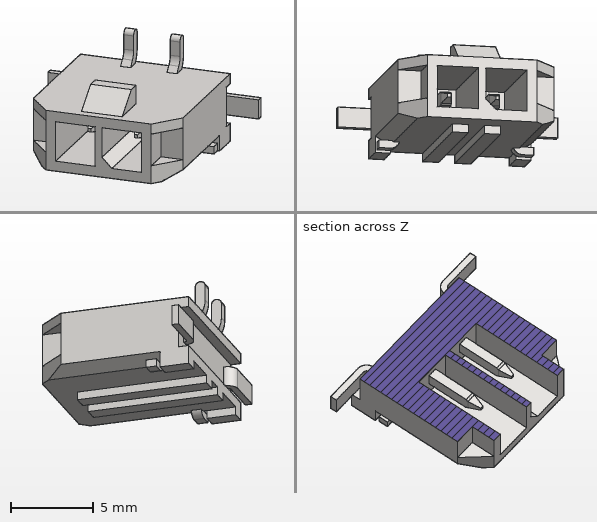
import cadquery as cq
import math


body_width = 9.69
body_length = 9.88
body_height = 3.86
mating_width = 6.82
corner_length = 1.68
bottom_bevel_width = 0.95
bottom_bevel_height = 0.5

foot_height = 0.5
foot_length = 1.84
rail_width = 1.0
rail_front = 1.58

pitch = 3.0
cavity_size = 2.55
cavity_depth = 6.28
key_bevel = 0.64
wall_thickness = (body_height - cavity_size) / 2
recess_bottom = 1.16
rear_notch_depth = 0.64

latch_width = 2.63
latch_height = 1.2
latch_front = 0.57
latch_top_front = 2.17
latch_rear = 2.96

pin_width = 0.64
pin_height = 0.83
pin_centre_z = 1.97
pin_front = 2.46
pin_tip_size = 0.2
pin_point_length = 0.82
pin_flare_length = 0.14
pin_rear = 7.65
leg_rear = 9.9
leg_top = 6.05
leg_bend_height = 0.93
leg_inner_radius = 0.85
leg_tilt = 41.0

peg_span = 13.65
peg_rear = 9.92
peg_height = 1.24
peg_thickness = 0.44
peg_bend_radius = 0.2
peg_bend_face = 3.5
tab_thickness = 0.48
tab_bend_radius = 0.14
tab_bend_face = peg_bend_face
tab_end = 4.8
tab_width = 0.65
tab_front = 7.14
tab_bottom = -0.4
strip_embed = 0.55

half_width = body_width / 2
half_mating = mating_width / 2
half_height = body_height / 2
pin_places = (-pitch / 2, pitch / 2)


def box(x_min, x_max, y_min, y_max, z_min, z_max):
    """Box given by its limits along each axis."""
    size = (x_max - x_min, y_max - y_min, z_max - z_min)
    return cq.Workplane("XY").box(*size, centered=False).translate((x_min, y_min, z_min))


def both_sides(shape):
    """The shape together with its mirror image across X = 0."""
    return shape.union(shape.mirror("YZ"))


def housing_block():
    """Block with cut front corners and bevelled bottom side edges ahead of the feet."""
    foot_front = body_length - foot_length
    block = (
        cq.Workplane("XY")
        .moveTo(-half_mating, 0)
        .lineTo(half_mating, 0)
        .lineTo(half_width, corner_length)
        .lineTo(half_width, body_length)
        .lineTo(-half_width, body_length)
        .lineTo(-half_width, corner_length)
        .close()
        .extrude(body_height)
    )
    bevel = (
        cq.Workplane("XZ")
        .moveTo(half_width, 0)
        .lineTo(half_width, bottom_bevel_height)
        .lineTo(half_width - bottom_bevel_width, 0)
        .close()
        .extrude(-foot_front)
    )
    return block.cut(both_sides(bevel))


def standoffs():
    """Rear corner feet and two long rails that the housing rests on."""
    foot = box(
        half_width - bottom_bevel_width, half_width,
        body_length - foot_length, body_length,
        -foot_height, wall_thickness,
    )
    rail_centre = pitch / 3
    rail = box(
        rail_centre - rail_width / 2, rail_centre + rail_width / 2,
        rail_front, body_length,
        -foot_height, wall_thickness,
    )
    return both_sides(foot.union(rail))


def latch_ramp():
    """Wedge on the top face, sloping down towards the mating face."""
    latch_top = body_height + latch_height
    return (
        cq.Workplane("YZ")
        .moveTo(latch_front, body_height)
        .lineTo(latch_top_front, latch_top)
        .lineTo(latch_rear, latch_top)
        .lineTo(latch_rear, body_height)
        .close()
        .extrude(latch_width / 2, both=True)
    )


def cavities():
    """Two square sockets; the +X one keeps a bevelled lower inner corner."""
    sockets = (
        cq.Workplane("XZ", origin=(0, 0, half_height))
        .pushPoints([(x, 0) for x in pin_places])
        .rect(cavity_size, cavity_size)
        .extrude(-cavity_depth)
    )
    key_x = (pitch - cavity_size) / 2
    key = (
        cq.Workplane("XZ")
        .moveTo(key_x, wall_thickness)
        .lineTo(key_x + key_bevel, wall_thickness)
        .lineTo(key_x, wall_thickness + key_bevel)
        .close()
        .extrude(-cavity_depth)
    )
    return sockets.cut(key)


def corner_recesses():
    """Square pockets in the cut front corners."""
    top = body_height - wall_thickness
    return both_sides(box(half_mating, half_width, 0, corner_length, recess_bottom, top))


def rear_notch():
    """Groove across the rear face."""
    return box(
        -half_width, half_width,
        body_length - rear_notch_depth, body_length,
        wall_thickness, body_height - wall_thickness,
    )


def pin_blade(x):
    """Straight contact: a pyramid point, a short vertical flare, then a plain bar."""
    point_rear = pin_front + pin_point_length
    flare_rear = point_rear + pin_flare_length

    def section(y):
        return cq.Workplane("XZ", origin=(x, y, pin_centre_z))

    point = (
        section(pin_front)
        .rect(pin_tip_size, pin_tip_size)
        .workplane(offset=-pin_point_length)
        .rect(pin_width, pin_width)
        .loft(ruled=True)
    )
    flare = (
        section(point_rear)
        .rect(pin_width, pin_width)
        .workplane(offset=-pin_flare_length)
        .rect(pin_width, pin_height)
        .loft(ruled=True)
    )
    bar = section(flare_rear).rect(pin_width, pin_height).extrude(flare_rear - pin_rear)
    return point.union(flare).union(bar)


def solder_leg(x):
    """Round-ended leg that leaves the top face at a tilt and bends upright."""
    tilt = math.radians(leg_tilt)
    bend_radius = leg_inner_radius + pin_width / 2
    upright_y = leg_rear - pin_width / 2
    tip_z = leg_top - pin_width / 2
    bend_z = body_height + leg_bend_height
    bend_centre_y = upright_y - bend_radius

    def bend_point(angle):
        return (
            bend_centre_y + bend_radius * math.cos(angle),
            bend_z - bend_radius * math.sin(angle),
        )

    bend_end_y, bend_end_z = bend_point(tilt)
    root_y = bend_end_y - (bend_end_z - pin_centre_z) * math.tan(tilt)
    path = (
        cq.Workplane("YZ", origin=(x, 0, 0))
        .moveTo(upright_y, tip_z)
        .lineTo(upright_y, bend_z)
        .threePointArc(bend_point(tilt / 2), (bend_end_y, bend_end_z))
        .lineTo(root_y, pin_centre_z)
    )
    leg = cq.Workplane("XY", origin=(x, upright_y, tip_z)).rect(pin_width, pin_width).sweep(path)
    tip = (
        cq.Workplane("YZ", origin=(x - pin_width / 2, upright_y, tip_z))
        .circle(pin_width / 2)
        .extrude(pin_width)
    )
    return leg.union(tip)


def bent_strip(plane, free_end, bend_face, thickness, inner_radius, width):
    """Flat strip along local X whose outer face lies on local X, bent up towards local Y."""
    outer_radius = inner_radius + thickness
    strip_end = outer_radius + strip_embed
    return (
        cq.Workplane(plane)
        .moveTo(free_end, 0)
        .lineTo(bend_face + outer_radius, 0)
        .radiusArc((bend_face, outer_radius), outer_radius)
        .lineTo(bend_face, strip_end)
        .lineTo(bend_face + thickness, strip_end)
        .lineTo(bend_face + thickness, outer_radius)
        .radiusArc((bend_face + outer_radius, thickness), -inner_radius)
        .lineTo(free_end, thickness)
        .close()
        .extrude(width)
    )


def side_pegs():
    """Upright strips along the rear face, bent forwards into the housing."""
    plane = cq.Plane(
        origin=(0, peg_rear, half_height + peg_height / 2),
        xDir=(1, 0, 0),
        normal=(0, 0, -1),
    )
    return both_sides(
        bent_strip(plane, peg_span / 2, peg_bend_face, peg_thickness, peg_bend_radius, peg_height)
    )


def lower_tabs():
    """Strips under the side edges, bent upwards into the housing."""
    plane = cq.Plane(
        origin=(0, tab_front + tab_width, tab_bottom),
        xDir=(1, 0, 0),
        normal=(0, -1, 0),
    )
    return both_sides(
        bent_strip(plane, tab_end, tab_bend_face, tab_thickness, tab_bend_radius, tab_width)
    )


result = housing_block().union(standoffs()).union(latch_ramp())
result = result.cut(cavities()).cut(corner_recesses()).cut(rear_notch())
for pin_x in pin_places:
    result = result.union(pin_blade(pin_x)).union(solder_leg(pin_x))
result = result.union(side_pegs()).union(lower_tabs())